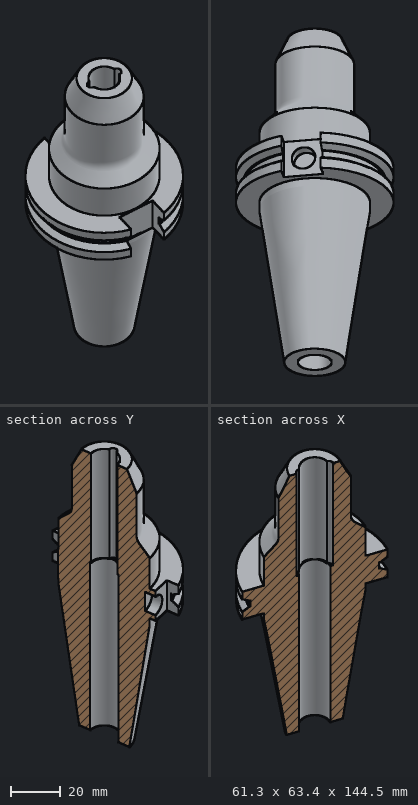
import cadquery as cq
import math

total_height = 144.5
gauge_height = 68.2
collar_height = 3.5
flange_thickness = 15.7
flange_bottom = gauge_height + collar_height
flange_top = flange_bottom + flange_thickness
flange_middle = flange_bottom + flange_thickness / 2
shoulder_height = 103.3
nose_cone_height = 10.5

taper_ratio = 7 / 24
body_diameter = 44.5
taper_end_diameter = body_diameter - taper_ratio * gauge_height
nose_diameter = 31.8
nose_tip_diameter = 22.2
neck_fillet_radius = 5.0

flange_diameter = 63.4
groove_floor_diameter = 56.2
groove_ledge_width = 0.6
groove_floor_width = 3.2
groove_mouth_width = 7.0

slot_width = 16.0
left_slot_distance = 25.0
right_slot_distance = 22.5
dimple_diameter = 9.5
dimple_depth = 5.0

tool_bore_diameter = 12.7
rear_bore_diameter = 13.6
channel_radius = 1.7
channel_offset = 6.2


def make_body():
    """Revolve the taper, body and nose; a 45 degree shoulder meets the nose in a fillet."""
    body_radius = body_diameter / 2
    nose_radius = nose_diameter / 2
    half_turn = math.radians(45) / 2
    fillet_drop = neck_fillet_radius * math.sin(2 * half_turn)
    fillet_spread = neck_fillet_radius * (1 - math.cos(2 * half_turn))
    neck_radius = nose_radius + fillet_spread
    neck_height = shoulder_height + body_radius - neck_radius
    fillet_top = neck_height + fillet_drop
    fillet_middle = (
        nose_radius + neck_fillet_radius * (1 - math.cos(half_turn)),
        fillet_top - neck_fillet_radius * math.sin(half_turn),
    )
    return (
        cq.Workplane("XZ")
        .lineTo(taper_end_diameter / 2, 0)
        .lineTo(body_radius, gauge_height)
        .lineTo(body_radius, shoulder_height)
        .lineTo(neck_radius, neck_height)
        .threePointArc(fillet_middle, (nose_radius, fillet_top))
        .lineTo(nose_radius, total_height - nose_cone_height)
        .lineTo(nose_tip_diameter / 2, total_height)
        .lineTo(0, total_height)
        .close()
        .revolve(360, (0, 0, 0), (0, 1, 0))
    )


def make_flange():
    """Revolve the flange with a groove at mid-thickness: V sides, a small flat ledge, then the floor."""
    rim_radius = flange_diameter / 2
    floor_radius = groove_floor_diameter / 2
    ledge_radius = floor_radius + groove_ledge_width
    return (
        cq.Workplane("XZ")
        .moveTo(0, flange_bottom)
        .lineTo(rim_radius, flange_bottom)
        .lineTo(rim_radius, flange_middle - groove_mouth_width / 2)
        .lineTo(ledge_radius, flange_middle - groove_floor_width / 2)
        .lineTo(floor_radius, flange_middle - groove_floor_width / 2)
        .lineTo(floor_radius, flange_middle + groove_floor_width / 2)
        .lineTo(ledge_radius, flange_middle + groove_floor_width / 2)
        .lineTo(rim_radius, flange_middle + groove_mouth_width / 2)
        .lineTo(rim_radius, flange_top)
        .lineTo(0, flange_top)
        .close()
        .revolve(360, (0, 0, 0), (0, 1, 0))
    )


def make_drive_slot(side, distance):
    """Block that clears the flange beyond a distance from the axis; side is -1 or +1 along X."""
    return (
        cq.Workplane("XY")
        .box(flange_diameter, slot_width, flange_thickness)
        .translate((side * (distance + flange_diameter / 2), 0, flange_middle))
    )


def make_dimple():
    """Blind round hole in the floor of the left drive slot."""
    return (
        cq.Workplane("YZ", origin=(-left_slot_distance, 0, 0))
        .center(0, flange_middle)
        .circle(dimple_diameter / 2)
        .extrude(dimple_depth)
    )


def make_bores():
    """Tool bore with a coolant channel on each Y side, above the rear bore ending at the flange top."""
    tool_bore_depth = total_height - flange_top
    rear_bore = cq.Workplane("XY").circle(rear_bore_diameter / 2).extrude(flange_top)
    front_plane = cq.Workplane("XY", origin=(0, 0, flange_top))
    tool_bore = front_plane.circle(tool_bore_diameter / 2).extrude(tool_bore_depth)
    channels = (
        front_plane.pushPoints([(0, channel_offset), (0, -channel_offset)])
        .circle(channel_radius)
        .extrude(tool_bore_depth)
    )
    return rear_bore.union(tool_bore).union(channels)


result = (
    make_body()
    .union(make_flange())
    .cut(make_drive_slot(-1, left_slot_distance))
    .cut(make_drive_slot(1, right_slot_distance))
    .cut(make_dimple())
    .cut(make_bores())
)